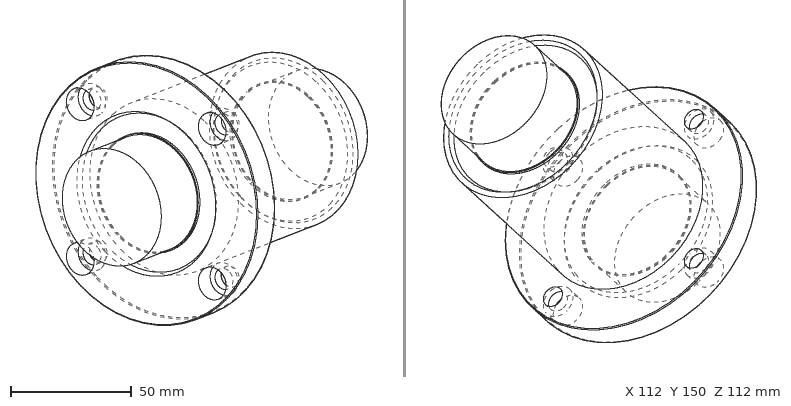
import cadquery as cq


shaft_length = 150.0
shaft_diameter = 50.0

sleeve_length = 99.9
sleeve_diameter = 75.0

flange_diameter = 112.0
flange_thickness = 13.0
flange_chamfer = 0.5

recess_mouth_diameter = 70.0
recess_floor_diameter = 67.6
recess_depth = 2.2

collar_diameter = 51.0
collar_height = 1.2

bolt_circle_diameter = 94.0
bolt_count = 4
first_bolt_angle = 45.0
bolt_hole_diameter = 9.0
counterbore_diameter = 14.0
counterbore_depth = 8.5

sleeve_end = sleeve_length / 2


def cylinder_along_y(diameter, start_y, length):
    """Solid cylinder on the bearing axis, running from start_y toward +Y."""
    plane = cq.Plane(origin=(0, start_y, 0), xDir=(1, 0, 0), normal=(0, 1, 0))
    return cq.Workplane(plane).circle(diameter / 2).extrude(length)


def make_flange():
    """Disc with chamfered rims and counterbored screw holes."""
    disc = cylinder_along_y(flange_diameter, -sleeve_end, flange_thickness)
    return (
        disc.edges()
        .chamfer(flange_chamfer)
        .faces("<Y")
        .workplane(origin=(0, -sleeve_end, 0))
        .polarArray(bolt_circle_diameter / 2, first_bolt_angle, 360, bolt_count)
        .cboreHole(bolt_hole_diameter, counterbore_diameter, counterbore_depth)
    )


def make_end_recess():
    """Tapered recess at the -Y sleeve end with the seal collar left standing, as a cutter."""
    recess_floor = -sleeve_end + recess_depth
    collar_top = recess_floor - collar_height
    half_section = [
        (0, -sleeve_end),
        (recess_mouth_diameter / 2, -sleeve_end),
        (recess_floor_diameter / 2, recess_floor),
        (collar_diameter / 2, recess_floor),
        (collar_diameter / 2, collar_top),
        (0, collar_top),
    ]
    return cq.Workplane("XY").polyline(half_section).close().revolve(360, (0, 0), (0, 1))


sleeve = cylinder_along_y(sleeve_diameter, -sleeve_end, sleeve_length)
shaft = cylinder_along_y(shaft_diameter, -shaft_length / 2, shaft_length)
end_recess = make_end_recess()

result = (
    sleeve.union(make_flange())
    .cut(end_recess)
    .cut(end_recess.mirror("XZ"))
    .union(shaft)
)